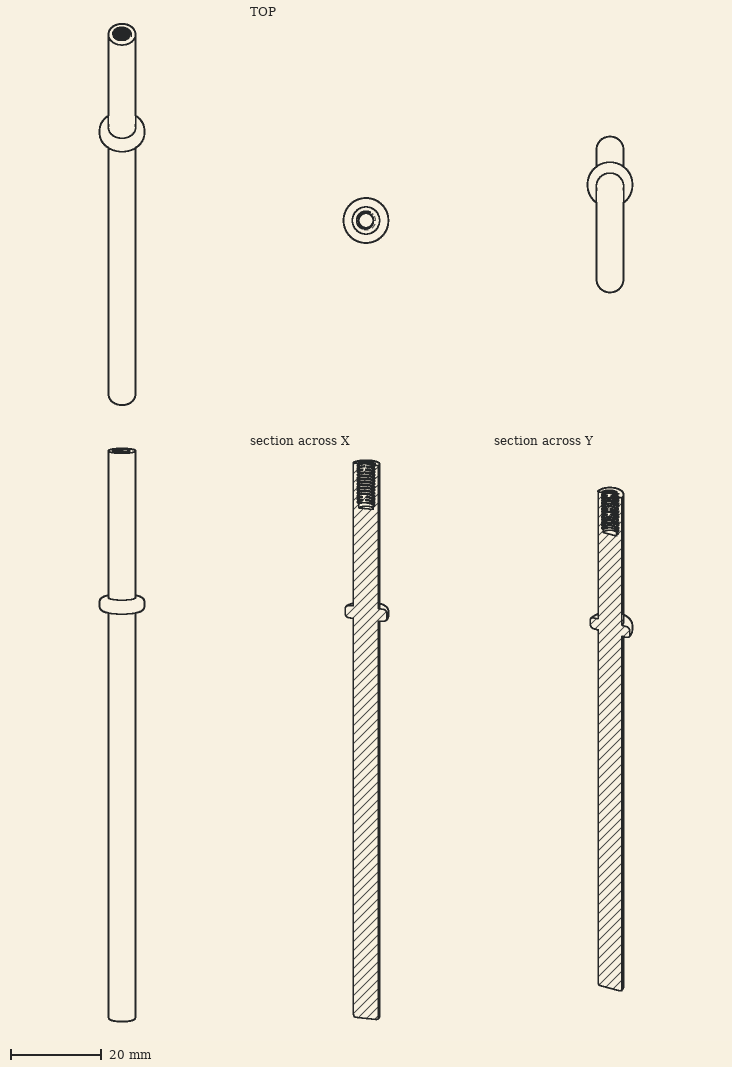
import cadquery as cq

tube_length = 128.0
tube_diameter = 6.0
bottom_edge_radius = 0.6

thread_minor_diameter = 3.3
thread_major_diameter = 4.1
thread_pitch = 0.7
hole_depth = 10.2
thread_root_flat = thread_pitch / 8
thread_mouth_width = thread_pitch * 7 / 8
thread_overlap = 0.06
minor_radius = thread_minor_diameter / 2
major_radius = thread_major_diameter / 2
hole_floor = tube_length - hole_depth

collar_diameter = 10.0
collar_height = 3.0
collar_edge_radius = 1.0
collar_base = 92.0


def make_tube():
    """Solid rod with a rounded lower edge."""
    rod = cq.Workplane("XY").circle(tube_diameter / 2).extrude(tube_length)
    return rod.faces("<Z").edges().fillet(bottom_edge_radius)


def make_collar():
    """Disc with both rims rounded, leaving a short straight band between them."""
    disc = (
        cq.Workplane("XY", origin=(0, 0, collar_base))
        .circle(collar_diameter / 2)
        .extrude(collar_height)
    )
    return disc.edges().fillet(collar_edge_radius)


def make_core_hole():
    """Drilled volume inside the thread crests."""
    return (
        cq.Workplane("XY", origin=(0, 0, hole_floor))
        .circle(minor_radius)
        .extrude(hole_depth)
    )


def make_thread_groove():
    """Helical V-shaped ridge, one pitch above the floor at its start, running out through the mouth."""
    helix_start = hole_floor + thread_pitch
    helix = cq.Wire.makeHelix(thread_pitch, hole_depth, minor_radius, center=cq.Vector(0, 0, helix_start))
    inner_radius = minor_radius - thread_overlap
    half_mouth = thread_mouth_width / 2
    half_root = thread_root_flat / 2
    return (
        cq.Workplane("XZ")
        .polyline([
            (inner_radius, helix_start - half_mouth),
            (major_radius, helix_start - half_root),
            (major_radius, helix_start + half_root),
            (inner_radius, helix_start + half_mouth),
        ])
        .close()
        .sweep(cq.Workplane(obj=helix), isFrenet=True)
    )


body = make_tube().union(make_collar())
result = body.cut(make_thread_groove()).cut(make_core_hole())